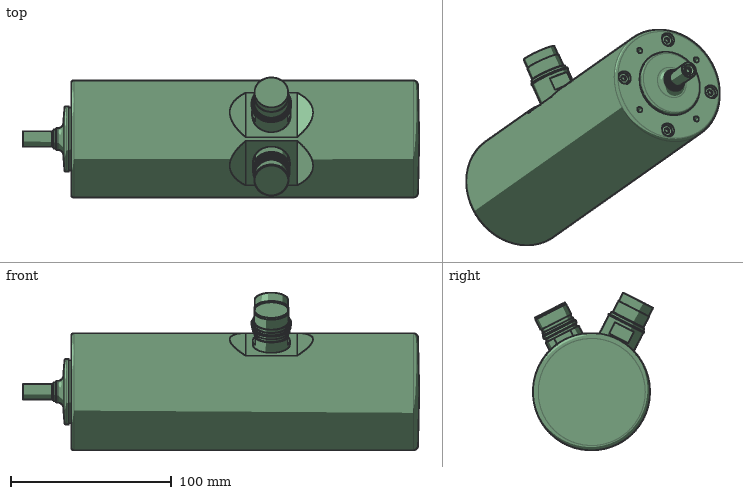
import cadquery as cq
import math

total_length = 247.0
body_diameter = 73.0
body_radius = body_diameter / 2

shaft_radius = 5.0
shaft_tip_chamfer = 0.2
shaft_length = 18.0
neck_radius = 4.5
neck_end = 18.8
shoulder_radius = 6.0
shoulder_chamfer = 0.7
collar_start = 20.5
collar_radius = 7.0
collar_chamfer = 0.7
collar_end = 22.2
cone_start = 25.2
cone_inner_radius = 10.0
cone_end = 26.0
flange_radius = 20.5
flange_fillet = 1.2
flange_end = 28.7
flange_neck_radius = 19.8
countersink_outer_radius = 3.5
countersink_inner_radius = 2.2
countersink_depth = 1.2
centre_hole_radius = 1.7
centre_hole_depth = 2.5
drill_tip_angle = 118

body_front = 30.1
front_fillet = 1.7
rear_cone_height = 0.7
rear_fillet = 3.2

hole_count = 4
screw_circle_radius = 30.0
screw_recess_diameter = 8.5
screw_recess_depth = 3.0
screw_head_height = 1.5
screw_head_diameter = 7.0
socket_diameter = 3.5
socket_depth = 1.2
small_hole_circle_radius = 27.7
small_hole_diameter = 3.5
small_hole_depth = 5.0

connector_x = 154.9
connector_tilt = 27.0
flat_distance = 33.0
flat_length = 32.0
ramp_length = 10.0

long_steps = [
    (24.2, flat_distance),
    (24.2, 47.5),
    (25.0, 47.5),
    (25.0, 48.2),
    (23.2, 48.2),
    (23.2, 50.0),
    (21.5, 50.5),
    (21.5, 58.0),
    (21.0, 58.0),
    (21.0, 64.0),
]
short_steps = [
    (23.2, flat_distance),
    (23.2, 40.3),
    (21.2, 40.3),
    (21.2, 42.0),
    (23.0, 42.5),
    (23.0, 44.2),
    (21.5, 45.0),
    (21.5, 46.5),
    (20.5, 46.5),
    (20.5, 48.7),
    (21.5, 48.7),
    (21.5, 55.8),
    (21.0, 55.8),
    (21.0, 57.0),
]
across_spanner_flats = 20.3
long_spanner_flats = (37.3, 45.2)
short_spanner_flats = (35.5, 40.3)


def revolved(profile):
    """Close a half profile and turn it fully about the X axis."""
    return profile.close().revolve(360, (0, 0, 0), (1, 0, 0))


def turned_housing():
    rear_edge = total_length - rear_cone_height
    collar_sweep_mid = (
        collar_end + (cone_start - collar_end) * math.sin(math.radians(45)),
        cone_inner_radius - (cone_inner_radius - collar_radius) * math.sin(math.radians(45)),
    )
    profile = (
        cq.Workplane("XY")
        .moveTo(0, 0)
        .lineTo(0, shaft_radius - shaft_tip_chamfer)
        .lineTo(shaft_tip_chamfer, shaft_radius)
        .lineTo(shaft_length, shaft_radius)
        .lineTo(shaft_length, neck_radius)
        .lineTo(neck_end, neck_radius)
        .lineTo(neck_end, shoulder_radius - shoulder_chamfer)
        .lineTo(neck_end + shoulder_chamfer, shoulder_radius)
        .lineTo(collar_start, shoulder_radius)
        .lineTo(collar_start, collar_radius - collar_chamfer)
        .lineTo(collar_start + collar_chamfer, collar_radius)
        .lineTo(collar_end, collar_radius)
        .threePointArc(collar_sweep_mid, (cone_start, cone_inner_radius))
        .lineTo(cone_end, flange_radius - flange_fillet)
        .radiusArc((cone_end + flange_fillet, flange_radius), flange_fillet)
        .lineTo(flange_end, flange_radius)
        .lineTo(flange_end, flange_neck_radius)
        .lineTo(body_front, flange_neck_radius)
        .lineTo(body_front, body_radius - front_fillet)
        .radiusArc((body_front + front_fillet, body_radius), front_fillet)
        .lineTo(rear_edge - rear_fillet, body_radius)
        .radiusArc((rear_edge, body_radius - rear_fillet), rear_fillet)
        .lineTo(total_length, 0)
    )
    return revolved(profile)


def drilled_hole(start, radius, depth):
    """Blind hole along +X on the housing axis, with a conical bottom below the given depth."""
    tip_length = radius / math.tan(math.radians(drill_tip_angle / 2))
    profile = (
        cq.Workplane("XY")
        .moveTo(start, 0)
        .lineTo(start, radius)
        .lineTo(start + depth, radius)
        .lineTo(start + depth + tip_length, 0)
    )
    return revolved(profile)


def shaft_centre_hole():
    countersink = revolved(
        cq.Workplane("XY")
        .moveTo(0, 0)
        .lineTo(0, countersink_outer_radius)
        .lineTo(countersink_depth, countersink_inner_radius)
        .lineTo(countersink_depth, 0)
    )
    return countersink.union(drilled_hole(0, centre_hole_radius, centre_hole_depth))


def front_face():
    """Workplane on the housing front face, with its normal pointing into the housing."""
    return cq.Workplane("YZ", origin=(body_front, 0, 0))


def screw_places(start_depth):
    """Workplane at a depth below the front face with the screw axes on its stack."""
    plane = front_face().workplane(offset=start_depth)
    return plane.polarArray(screw_circle_radius, 0, 360, hole_count)


def screw_recesses():
    """Material removed at the screws: round recesses, less the heads standing in them, plus the sockets."""
    head_top = screw_recess_depth - screw_head_height
    recesses = screw_places(0).circle(screw_recess_diameter / 2).extrude(screw_recess_depth)
    heads = screw_places(head_top).circle(screw_head_diameter / 2).extrude(screw_head_height)
    sockets = screw_places(head_top).polygon(6, socket_diameter).extrude(socket_depth)
    return recesses.cut(heads).union(sockets)


def small_holes():
    hole = drilled_hole(body_front, small_hole_diameter / 2, small_hole_depth)
    first_hole = hole.translate((0, 0, small_hole_circle_radius))
    holes = cq.Workplane("XY")
    for i in range(hole_count):
        holes.add(first_hole.rotate((0, 0, 0), (1, 0, 0), (i + 0.5) * 360 / hole_count))
    return holes.combine()


def at_connector(shape, tilt):
    """Move a shape built about the Z axis to the connector place, tilted about the housing axis."""
    return shape.rotate((0, 0, 0), (1, 0, 0), tilt).translate((connector_x, 0, 0))


def flat_cutter():
    """Flat with a ramp at each end, running out of the housing surface."""
    half_flat = flat_length / 2
    half_top = half_flat + ramp_length
    return (
        cq.Workplane("XZ")
        .moveTo(-half_flat, flat_distance)
        .lineTo(half_flat, flat_distance)
        .lineTo(half_top, body_radius)
        .lineTo(-half_top, body_radius)
        .close()
        .extrude(body_radius, both=True)
    )


def make_housing():
    housing = turned_housing().cut(shaft_centre_hole()).cut(screw_recesses()).cut(small_holes())
    for tilt in (-connector_tilt, connector_tilt):
        housing = housing.cut(at_connector(flat_cutter(), tilt))
    return housing


def make_connector(steps, spanner_flats, tilt):
    """Turned connector standing on its housing flat, with two opposite spanner flats on its base."""
    profile = cq.Workplane("XZ").moveTo(0, flat_distance)
    for diameter, distance in steps:
        profile = profile.lineTo(diameter / 2, distance)
    top_distance = steps[-1][1]
    body = profile.lineTo(0, top_distance).close().revolve(360, (0, 0, 0), (0, 1, 0))

    base_diameter = steps[0][0]
    flats_start, flats_end = spanner_flats
    flats_plane = cq.Workplane("XY", origin=(0, 0, flats_start))
    flats_height = flats_end - flats_start
    around = flats_plane.rect(2 * base_diameter, 2 * base_diameter).extrude(flats_height)
    kept = flats_plane.rect(across_spanner_flats, 2 * base_diameter).extrude(flats_height)
    return at_connector(body.cut(around.cut(kept)), tilt)


housing = make_housing()
long_connector = make_connector(long_steps, long_spanner_flats, -connector_tilt)
short_connector = make_connector(short_steps, short_spanner_flats, connector_tilt)

result = cq.Compound.makeCompound([housing.val(), long_connector.val(), short_connector.val()])